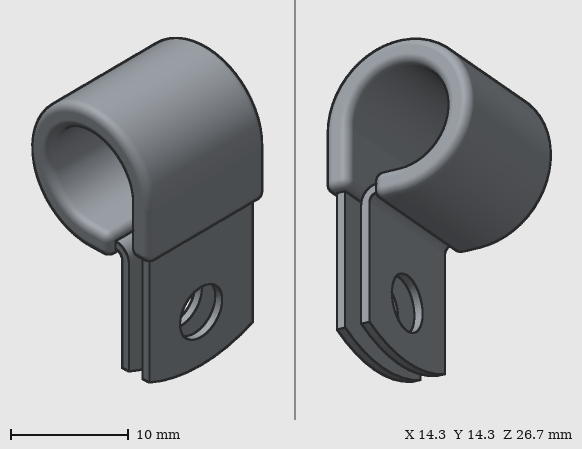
import cadquery as cq
import math


cable_radius = 4.7625
strap_thickness = 0.8128
strap_width = 12.7
rubber_wall = 0.79375
upright_length = 5.55625
tail_length = 2.38125
leg_gap = 1.5875
leg_bottom = -19.58
leg_end_radius = 15.875
hole_diameter = 5.16
hole_height = -14.1

cushion_width = strap_width + 2 * rubber_wall
cushion_outer_radius = cable_radius + strap_thickness + 2 * rubber_wall
strap_inner_radius = cable_radius + rubber_wall
strap_outer_radius = strap_inner_radius + strap_thickness
bent_leg_outer_x = strap_inner_radius - leg_gap
bent_leg_inner_x = bent_leg_outer_x - strap_thickness
bend_outer_radius = bent_leg_outer_x - tail_length
bend_inner_radius = bend_outer_radius - strap_thickness
bend_center_z = -strap_inner_radius - bend_outer_radius
diagonal = math.sqrt(0.5)


def extrude_centered(outline, width):
    """Extrude a closed XZ outline symmetrically about the XZ plane."""
    return outline.extrude(width / 2, both=True)


def make_cushion():
    """Three-quarter ring with two straight ends and every outside edge rounded."""
    outline = (
        cq.Workplane("XZ")
        .moveTo(cushion_outer_radius, -upright_length)
        .lineTo(cushion_outer_radius, 0)
        .threePointArc(
            (-cushion_outer_radius * diagonal, cushion_outer_radius * diagonal),
            (0, -cushion_outer_radius),
        )
        .lineTo(tail_length, -cushion_outer_radius)
        .lineTo(tail_length, -cable_radius)
        .lineTo(0, -cable_radius)
        .threePointArc(
            (-cable_radius * diagonal, cable_radius * diagonal),
            (cable_radius, 0),
        )
        .lineTo(cable_radius, -upright_length)
        .close()
    )
    body = extrude_centered(outline, cushion_width)
    side_edges = body.faces("<Y or >Y").edges()
    end_corners = [
        (tail_length, -cushion_outer_radius),
        (tail_length, -cable_radius),
        (cable_radius, -upright_length),
        (cushion_outer_radius, -upright_length),
    ]
    rounded_edges = side_edges
    for x, z in end_corners:
        corner = cq.selectors.NearestToPointSelector((x, 0, z))
        rounded_edges = rounded_edges.add(body.edges("|Y").edges(corner))
    return rounded_edges.fillet(rubber_wall)


def make_strap():
    """Strap loop running down into a straight leg and a bent leg."""
    outline = (
        cq.Workplane("XZ")
        .moveTo(strap_outer_radius, leg_bottom)
        .lineTo(strap_outer_radius, 0)
        .threePointArc(
            (-strap_outer_radius * diagonal, strap_outer_radius * diagonal),
            (0, -strap_outer_radius),
        )
        .lineTo(tail_length, -strap_outer_radius)
        .threePointArc(
            (tail_length + bend_inner_radius * diagonal, bend_center_z + bend_inner_radius * diagonal),
            (bent_leg_inner_x, bend_center_z),
        )
        .lineTo(bent_leg_inner_x, leg_bottom)
        .lineTo(bent_leg_outer_x, leg_bottom)
        .lineTo(bent_leg_outer_x, bend_center_z)
        .threePointArc(
            (tail_length + bend_outer_radius * diagonal, bend_center_z + bend_outer_radius * diagonal),
            (tail_length, -strap_inner_radius),
        )
        .lineTo(0, -strap_inner_radius)
        .threePointArc(
            (-strap_inner_radius * diagonal, strap_inner_radius * diagonal),
            (strap_inner_radius, 0),
        )
        .lineTo(strap_inner_radius, leg_bottom)
        .close()
    )
    return extrude_centered(outline, strap_width)


def make_leg_silhouette():
    """Block whose lower end is the common rounded end of both legs."""
    half_width = strap_width / 2
    end_rise = leg_end_radius - math.sqrt(leg_end_radius**2 - half_width**2)
    outline = (
        cq.Workplane("YZ")
        .moveTo(-half_width, cushion_outer_radius)
        .lineTo(-half_width, leg_bottom + end_rise)
        .threePointArc((0, leg_bottom), (half_width, leg_bottom + end_rise))
        .lineTo(half_width, cushion_outer_radius)
        .close()
    )
    return outline.extrude(cushion_outer_radius, both=True)


def make_mounting_hole():
    """Screw hole passing through both legs along X."""
    return (
        cq.Workplane("YZ")
        .center(0, hole_height)
        .circle(hole_diameter / 2)
        .extrude(cushion_outer_radius, both=True)
    )


strap = make_strap().intersect(make_leg_silhouette()).cut(make_mounting_hole())
result = make_cushion().union(strap)